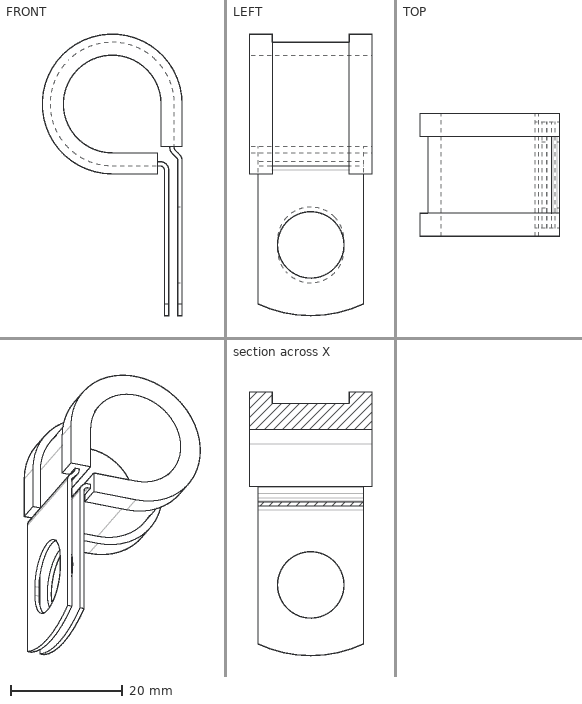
import cadquery as cq
import math

cushion_radius = 12.595
bore_radius = 8.75
cushion_width = 22.1
groove_width = 13.8
lower_end_x = 8.15
upper_end_z = -7.65

strap_thickness = 0.8
strap_outer_radius = 11.15
strap_width = 19.0
bend_inner_radius = 0.75
inner_leg_face_x = 10.2
overall_height = 50.7
tip_z = cushion_radius - overall_height
joggle_start_z = -7.8

hole_diameter = 11.9
slot_length = 13.7
hole_z = -25.35
tip_sag = 2.15

strap_radius = strap_outer_radius - strap_thickness / 2
bend_radius = bend_inner_radius + strap_thickness / 2
inner_leg_x = inner_leg_face_x - strap_thickness / 2
outer_leg_x = cushion_radius - strap_thickness / 2
tip_radius = ((strap_width / 2) ** 2 + tip_sag ** 2) / (2 * tip_sag)
DIAGONAL = math.sqrt(0.5)


def wrapped_band(outer_radius, inner_radius, width):
    """Three-quarter ring with a straight run at each end, centred on Y = 0."""
    outer_mid = outer_radius * DIAGONAL
    inner_mid = inner_radius * DIAGONAL
    return (
        cq.Workplane("XZ")
        .moveTo(outer_radius, upper_end_z)
        .lineTo(outer_radius, 0)
        .threePointArc((-outer_mid, outer_mid), (0, -outer_radius))
        .lineTo(lower_end_x, -outer_radius)
        .lineTo(lower_end_x, -inner_radius)
        .lineTo(0, -inner_radius)
        .threePointArc((-inner_mid, inner_mid), (inner_radius, 0))
        .lineTo(inner_radius, upper_end_z)
        .close()
        .extrude(width / 2, both=True)
    )


def make_cushion():
    core = wrapped_band(strap_outer_radius, bore_radius, cushion_width)
    flange_width = (cushion_width - groove_width) / 2
    flange_y = (groove_width + flange_width) / 2
    flange = wrapped_band(cushion_radius, bore_radius, flange_width)
    for side in (-1, 1):
        core = core.union(flange.translate((0, side * flange_y, 0)))
    return core


def strap_path():
    """Strap centreline from the inner leg tip, around the loop, to the outer leg tip."""
    bend_start_x = inner_leg_x - bend_radius
    bend_centre_z = -strap_radius - bend_radius
    bend_mid = bend_radius * DIAGONAL
    loop_mid = strap_radius * DIAGONAL

    turn_x = bend_radius * (1 - DIAGONAL)
    turn_z = bend_radius * DIAGONAL
    half_turn = math.radians(45 / 2)
    half_turn_x = bend_radius * (1 - math.cos(half_turn))
    half_turn_z = bend_radius * math.sin(half_turn)
    diagonal_run = outer_leg_x - strap_radius - 2 * turn_x
    joggle_end_z = joggle_start_z - 2 * turn_z - diagonal_run

    return (
        cq.Workplane("XZ")
        .moveTo(inner_leg_x, tip_z)
        .lineTo(inner_leg_x, bend_centre_z)
        .threePointArc(
            (bend_start_x + bend_mid, bend_centre_z + bend_mid),
            (bend_start_x, -strap_radius),
        )
        .lineTo(0, -strap_radius)
        .threePointArc((-loop_mid, loop_mid), (strap_radius, 0))
        .lineTo(strap_radius, joggle_start_z)
        .threePointArc(
            (strap_radius + half_turn_x, joggle_start_z - half_turn_z),
            (strap_radius + turn_x, joggle_start_z - turn_z),
        )
        .lineTo(outer_leg_x - turn_x, joggle_end_z + turn_z)
        .threePointArc(
            (outer_leg_x - half_turn_x, joggle_end_z + half_turn_z),
            (outer_leg_x, joggle_end_z),
        )
        .lineTo(outer_leg_x, tip_z)
    )


def leg_plane(leg_x):
    """Workplane on a leg's mid-plane, centred on its mounting opening."""
    return cq.Workplane("YZ", origin=(leg_x, 0, hole_z))


def make_strap():
    strap = (
        cq.Workplane("XY", origin=(inner_leg_x, 0, tip_z))
        .rect(strap_thickness, strap_width)
        .sweep(strap_path())
    )
    half_width = strap_width / 2
    outline = (
        cq.Workplane("YZ")
        .moveTo(-half_width, cushion_radius)
        .lineTo(-half_width, tip_z + tip_sag)
        .radiusArc((half_width, tip_z + tip_sag), -tip_radius)
        .lineTo(half_width, cushion_radius)
        .close()
        .extrude(cushion_radius, both=True)
    )
    hole = (
        leg_plane(inner_leg_x)
        .circle(hole_diameter / 2)
        .extrude(strap_thickness, both=True)
    )
    slot = (
        leg_plane(outer_leg_x)
        .slot2D(slot_length, hole_diameter, 90)
        .extrude(strap_thickness, both=True)
    )
    return strap.intersect(outline).cut(hole).cut(slot)


result = make_cushion().union(make_strap())